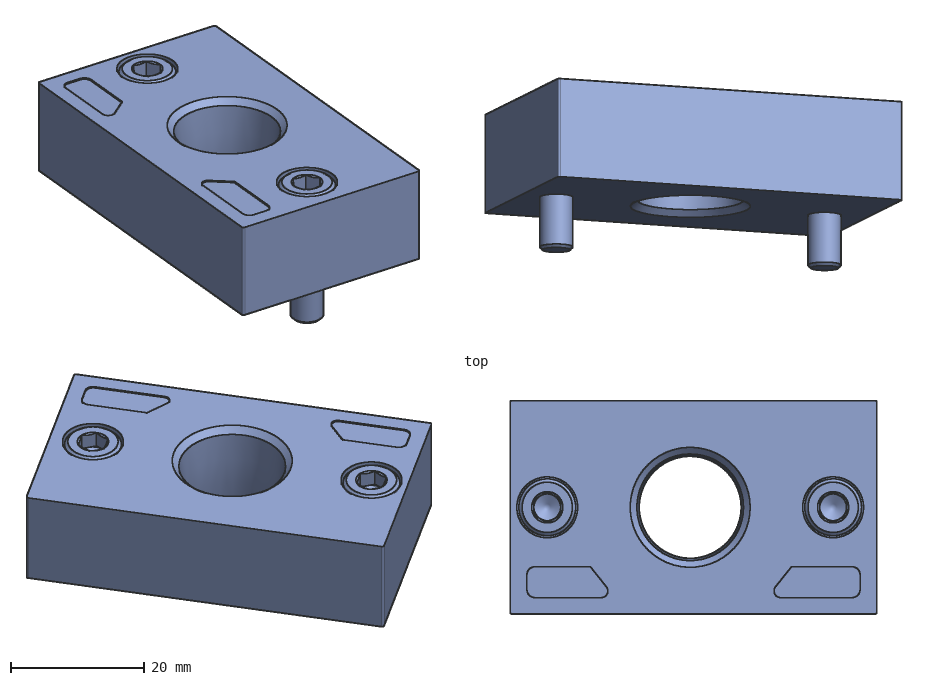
import cadquery as cq
import math

PLATE_LENGTH = 55.0
PLATE_WIDTH = 32.0
OVERALL_HEIGHT = 23.0
PLATE_HEIGHT = 14.95
PLATE_CORNER_RADIUS = 0.35

ROW_CENTRE_X = -0.5

BORE_MOUTH_DIAMETER = 18.0
BORE_THROAT_DIAMETER = 16.0
BORE_WAIST_DIAMETER = 15.2
BORE_CHAMFER_DEPTH = (BORE_MOUTH_DIAMETER - BORE_THROAT_DIAMETER) / 2

SCREW_SPACING = 42.85
SHANK_DIAMETER = 5.0
SHANK_TIP_DIAMETER = 4.1
SHANK_PROTRUSION = OVERALL_HEIGHT - PLATE_HEIGHT
SHANK_CHAMFER = (SHANK_DIAMETER - SHANK_TIP_DIAMETER) / 2
HEAD_DIAMETER = 8.5
HEAD_HEIGHT = 5.0
HEAD_CHAMFER = 0.5
COUNTERBORE_DIAMETER = 9.15

SOCKET_ACROSS_FLATS = 4.0
SOCKET_ACROSS_CORNERS = SOCKET_ACROSS_FLATS / math.cos(math.radians(30))
SOCKET_MOUTH_DIAMETER = 4.7
SOCKET_DEPTH = 2.5
SOCKET_TIP_ANGLE = 120.0

LABEL_DEPTH = 0.2
LABEL_BACK_Y = -8.9
LABEL_FRONT_Y = -13.55
LABEL_OUTER_X = 24.95
LABEL_SLANT_RUN = 3.7
LABEL_CORNER_RADIUS = 1.2
LABEL_TIP_RADIUS = 1.0
LEFT_LABEL_BACK_LENGTH = 9.5
RIGHT_LABEL_BACK_LENGTH = 10.3

HEAD_SEAT_Z = PLATE_HEIGHT - HEAD_HEIGHT


def screw_positions():
    return [(ROW_CENTRE_X + side * SCREW_SPACING / 2, 0) for side in (-1, 1)]


def make_bore():
    """Solid of revolution that fills the main bore, the same at both ends."""
    mouth = BORE_MOUTH_DIAMETER / 2
    throat = BORE_THROAT_DIAMETER / 2
    waist = BORE_WAIST_DIAMETER / 2
    bore = (
        cq.Workplane("XZ")
        .lineTo(mouth, 0)
        .lineTo(throat, BORE_CHAMFER_DEPTH)
        .threePointArc((waist, PLATE_HEIGHT / 2), (throat, PLATE_HEIGHT - BORE_CHAMFER_DEPTH))
        .lineTo(mouth, PLATE_HEIGHT)
        .lineTo(0, PLATE_HEIGHT)
        .close()
        .revolve(360, (0, 0), (0, 1))
    )
    return bore.translate((ROW_CENTRE_X, 0, 0))


def make_label_recess(side, back_length):
    """Label recess with a slanted inner end; side is -1 for the -X one and 1 for the +X one."""
    outer_x = side * LABEL_OUTER_X
    back_inner_x = side * (LABEL_OUTER_X - back_length)
    tip_x = back_inner_x - side * LABEL_SLANT_RUN
    outline = [
        (outer_x, LABEL_BACK_Y),
        (back_inner_x, LABEL_BACK_Y),
        (tip_x, LABEL_FRONT_Y),
        (outer_x, LABEL_FRONT_Y),
    ]
    floor = cq.Workplane("XY").workplane(offset=PLATE_HEIGHT - LABEL_DEPTH)
    recess = floor.polyline(outline).close().extrude(LABEL_DEPTH)
    outer_face = ">X" if side > 0 else "<X"
    recess = recess.faces(outer_face).edges("|Z").fillet(LABEL_CORNER_RADIUS)
    inner_end = "<X" if side > 0 else ">X"
    return recess.edges("|Z").edges(inner_end).fillet(LABEL_TIP_RADIUS)


def make_plate():
    plate = cq.Workplane("XY").box(PLATE_LENGTH, PLATE_WIDTH, PLATE_HEIGHT, centered=(True, True, False))
    plate = plate.edges("|Z").fillet(PLATE_CORNER_RADIUS)
    plate = plate.cut(make_bore())
    plate = (
        plate.faces(">Z").workplane(origin=(0, 0, PLATE_HEIGHT))
        .pushPoints(screw_positions())
        .cboreHole(SHANK_DIAMETER, COUNTERBORE_DIAMETER, HEAD_HEIGHT)
    )
    plate = plate.cut(make_label_recess(-1, LEFT_LABEL_BACK_LENGTH))
    return plate.cut(make_label_recess(1, RIGHT_LABEL_BACK_LENGTH))


def make_cone(base_diameter, full_angle, base_z):
    """Cone pointing down from a circle at base_z."""
    radius = base_diameter / 2
    depth = radius / math.tan(math.radians(full_angle / 2))
    profile = [(0, base_z), (radius, base_z), (0, base_z - depth)]
    return cq.Workplane("XZ").polyline(profile).close().revolve(360, (0, 0), (0, 1))


def make_socket():
    """Hexagon with corners along Y, a countersunk mouth and a conical bottom."""
    socket_floor = PLATE_HEIGHT - SOCKET_DEPTH
    hexagon = (
        cq.Workplane("XY").workplane(offset=socket_floor)
        .transformed(rotate=(0, 0, 90))
        .polygon(6, SOCKET_ACROSS_CORNERS)
        .extrude(SOCKET_DEPTH)
    )
    mouth = make_cone(SOCKET_MOUTH_DIAMETER, SOCKET_TIP_ANGLE, PLATE_HEIGHT)
    bottom = make_cone(SOCKET_ACROSS_FLATS, SOCKET_TIP_ANGLE, socket_floor)
    return hexagon.union(mouth).union(bottom)


def make_screw(position):
    shank = (
        cq.Workplane("XY").workplane(offset=-SHANK_PROTRUSION)
        .circle(SHANK_DIAMETER / 2)
        .extrude(SHANK_PROTRUSION + HEAD_SEAT_Z)
        .faces("<Z").chamfer(SHANK_CHAMFER)
    )
    head = (
        cq.Workplane("XY").workplane(offset=HEAD_SEAT_Z)
        .circle(HEAD_DIAMETER / 2)
        .extrude(HEAD_HEIGHT)
        .faces(">Z").chamfer(HEAD_CHAMFER)
    )
    screw = shank.union(head).cut(make_socket())
    return screw.translate((*position, 0))


plate = make_plate()
screws = [make_screw(position) for position in screw_positions()]

result = cq.Compound.makeCompound([plate.val(), *[screw.val() for screw in screws]])